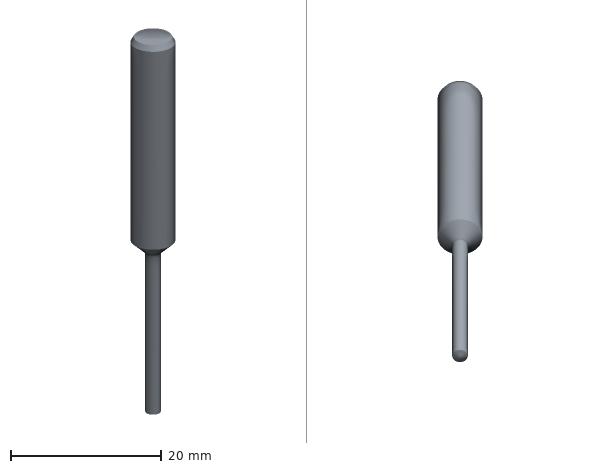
import cadquery as cq

total_length = 56.0
shank_diameter = 6.0
drill_diameter = 2.1
top_chamfer_radial = 0.45
top_chamfer_height = 0.8
shank_cylinder_bottom = 25.9
taper_bottom = 24.0
tip_height = 0.45

shank_radius = shank_diameter / 2
drill_radius = drill_diameter / 2


def make_shank():
    """Chamfered shank tapering down to the drill diameter."""
    profile = (
        cq.Workplane("XZ")
        .moveTo(0, taper_bottom)
        .lineTo(drill_radius, taper_bottom)
        .lineTo(shank_radius, shank_cylinder_bottom)
        .lineTo(shank_radius, total_length - top_chamfer_height)
        .lineTo(shank_radius - top_chamfer_radial, total_length)
        .lineTo(0, total_length)
        .close()
    )
    return profile.revolve(360, (0, 0), (0, 1))


def make_drill():
    """Slender rod with a conical point, butted against the end of the shank."""
    profile = (
        cq.Workplane("XZ")
        .moveTo(0, 0)
        .lineTo(drill_radius, tip_height)
        .lineTo(drill_radius, taper_bottom)
        .lineTo(0, taper_bottom)
        .close()
    )
    return profile.revolve(360, (0, 0), (0, 1))


shank = make_shank()
drill = make_drill()

result = cq.Compound.makeCompound([shank.val(), drill.val()])